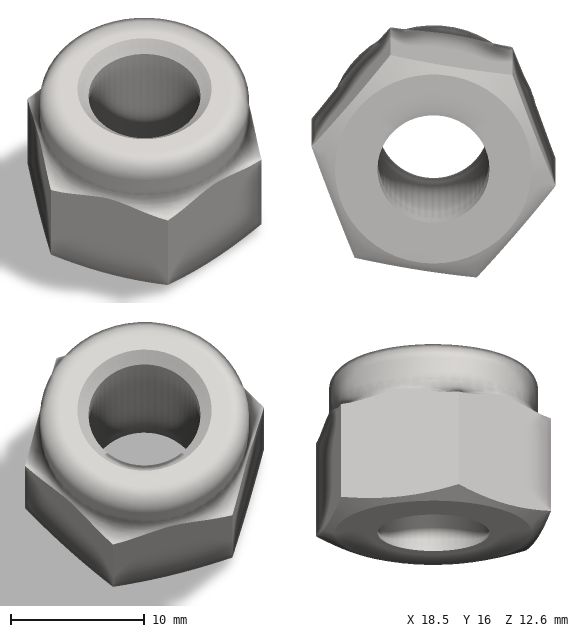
import cadquery as cq
import math

across_corners = 18.48
height = 12.6
corner_radius = across_corners / 2

collar_radius = 7.82
collar_rounding = 1.4
neck_bottom_z = 8.04
neck_fillet = corner_radius - collar_radius
neck_top_z = neck_bottom_z + neck_fillet

base_radius = 7.35
base_chamfer_height = 0.72

bore_radius = 4.18
countersink_radius = 5.0
countersink_depth = countersink_radius - bore_radius

DIAGONAL = math.sqrt(0.5)


def turned_body():
    """Solid of revolution that shapes the chamfer, the neck and the rounded collar."""
    neck_middle = (
        corner_radius - neck_fillet * DIAGONAL,
        neck_top_z - neck_fillet * DIAGONAL,
    )
    rim_center_r = collar_radius - collar_rounding
    rim_center_z = height - collar_rounding
    rim_middle = (
        rim_center_r + collar_rounding * DIAGONAL,
        rim_center_z + collar_rounding * DIAGONAL,
    )
    return (
        cq.Workplane("XZ")
        .lineTo(base_radius, 0)
        .lineTo(corner_radius, base_chamfer_height)
        .lineTo(corner_radius, neck_bottom_z)
        .threePointArc(neck_middle, (collar_radius, neck_top_z))
        .lineTo(collar_radius, rim_center_z)
        .threePointArc(rim_middle, (rim_center_r, height))
        .lineTo(0, height)
        .close()
        .revolve(360, (0, 0, 0), (0, 1, 0))
    )


def hexagon():
    """Full-height hexagonal prism with two corners on the X axis."""
    return cq.Workplane("XY").polygon(6, across_corners).extrude(height)


def bore():
    """Through hole with its countersink, as a cutting tool."""
    return (
        cq.Workplane("XZ")
        .lineTo(bore_radius, 0)
        .lineTo(bore_radius, height - countersink_depth)
        .lineTo(countersink_radius, height)
        .lineTo(0, height)
        .close()
        .revolve(360, (0, 0, 0), (0, 1, 0))
    )


result = hexagon().intersect(turned_body()).cut(bore())